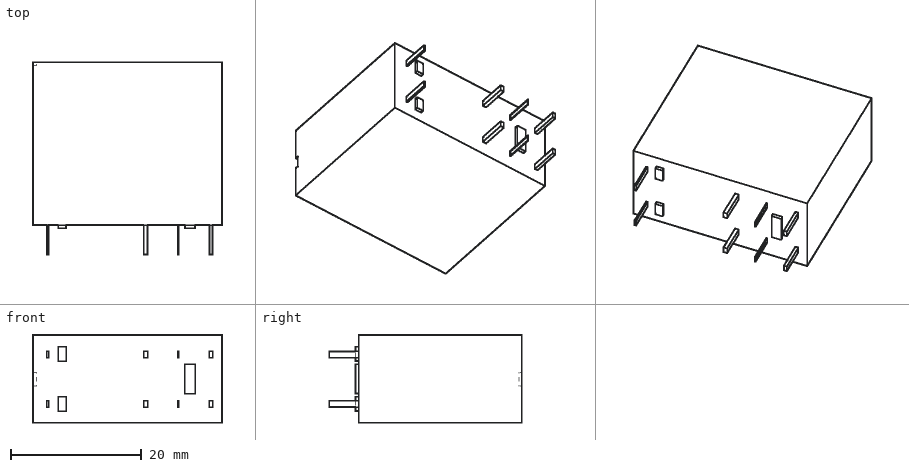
import cadquery as cq

total_length = 29.5
body_width = 29.0
body_height = 13.5
pin_length = 4.5
body_depth = total_length - pin_length

pins = [(2.27, 0.27), (17.3, 0.62), (22.27, 0.12), (27.3, 0.5)]
pin_height = 1.0
pin_row_spacing = 7.52
pin_row_drop = 0.05

foot_length = 0.5
small_foot_position = 4.48
small_foot_width = 1.2
small_foot_height = 2.2
small_foot_spacing = 7.65
large_foot_position = 24.07
large_foot_width = 1.6
large_foot_height = 4.5

notch_height = 2.06
notch_depth = 0.5
notch_width = 0.5


def make_body():
    """Block with its left side at X=0, pin side at Y=0 and mid-height at Z=0."""
    return cq.Workplane("XY").box(body_width, body_depth, body_height, centered=(False, False, True))


def projection(position, width, height, length, z):
    """Rectangular bar standing out of the pin side, centred at X=position."""
    bar = cq.Workplane("XY").box(width, length, height, centered=(True, False, True))
    return bar.translate((position, -length, z))


def make_notch():
    """Block that cuts the rear left edge at mid-height."""
    notch = cq.Workplane("XY").box(notch_width, notch_depth, notch_height, centered=(False, False, True))
    return notch.translate((0, body_depth - notch_depth, 0))


result = make_body().cut(make_notch())

for side in (-1, 1):
    pin_z = side * pin_row_spacing / 2 - pin_row_drop
    for pin_position, pin_width in pins:
        result = result.union(projection(pin_position, pin_width, pin_height, pin_length, pin_z))
    foot_z = side * small_foot_spacing / 2
    result = result.union(
        projection(small_foot_position, small_foot_width, small_foot_height, foot_length, foot_z)
    )

result = result.union(
    projection(large_foot_position, large_foot_width, large_foot_height, foot_length, 0)
)